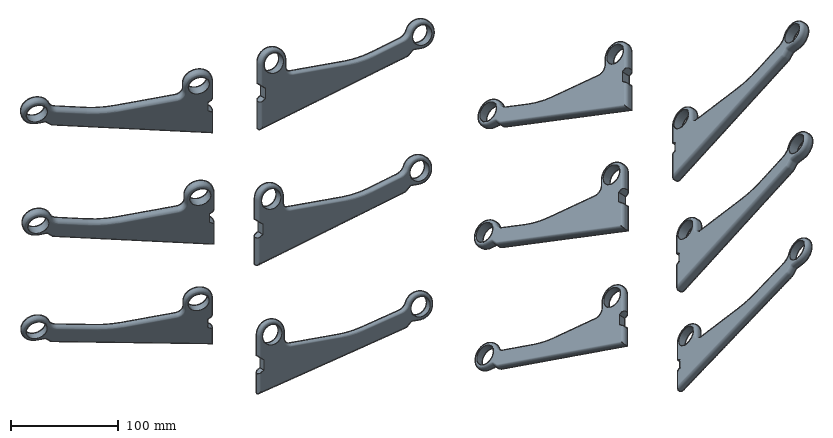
import cadquery as cq
import math


RING_RADIUS = 14.0
HOLE_DIAMETER = 20.2
RING_SPAN = 155.7
FRONT_RING_RISE = 1.7

SHELF_DROP = 13.0
BEAM_WIDTH = 18.5
HEEL_REACH = 142.0
HEEL_DROP = 17.5
STEP_REACH = 147.0

SHELF_CORNER_RADIUS = 7.0
BEND_RADIUS = 100.0
FRONT_NECK_RADIUS = 10.0
HEEL_RADIUS = 4.0
STEP_RADIUS = 1.7

RIM_RADIUS = 4.28
FACE_BLEND_RADIUS = 1.7
FACE_TRIM = 0.7

NOTCH_DROP = 28.5
NOTCH_MOUTH = 17.5
NOTCH_FLOOR = 10.3
NOTCH_DEPTH = 5.0

WIDE = 10.0
NARROW = 8.0
SIDE_SHIFT = 5.0
FORWARD_SHIFT = 1.0
UPPER_SPACING = 135.5
LOWER_SPACING = 133.8
DEEP_TAIL = 64.3
SHALLOW_TAIL = 57.0

RING_CENTRES = [(0, 0), (-RING_SPAN, FRONT_RING_RISE)]


def extrude_outline(points, thickness):
    """Straight-sided plate standing in the YZ plane."""
    return cq.Workplane("YZ").polyline(points).close().extrude(thickness)


def disc(centre, radius, thickness):
    return cq.Workplane("YZ").center(*centre).circle(radius).extrude(thickness)


def round_corner(body, corner, radius):
    """Round the outline corner nearest to the given (y, z) point."""
    mid_thickness = body.val().Center().x
    nearest = cq.NearestToPointSelector((mid_thickness, *corner))
    return body.edges("|X").edges(nearest).fillet(radius)


def make_blank(thickness, tail_drop):
    """Arm outline with rounded corners but square rims and no holes."""
    slope = (tail_drop - HEEL_DROP) / (HEEL_REACH + RING_RADIUS)
    beam_height = BEAM_WIDTH * math.hypot(1, slope)
    heel_top = beam_height - HEEL_DROP
    bend_reach = HEEL_REACH - (heel_top + SHELF_DROP) / slope
    beam_end = (-RING_SPAN, heel_top + slope * (RING_SPAN - HEEL_REACH))

    front_ring_bottom = FRONT_RING_RISE - RING_RADIUS
    shelf_corner = (-RING_RADIUS, -SHELF_DROP)
    bend = (-bend_reach, -SHELF_DROP)
    neck = (-RING_SPAN + RING_RADIUS, heel_top)
    heel = (-HEEL_REACH, -HEEL_DROP)
    step = (-STEP_REACH, front_ring_bottom)
    outline = [
        (RING_RADIUS, 0),
        (RING_RADIUS, -tail_drop),
        heel,
        step,
        (-RING_SPAN, front_ring_bottom),
        beam_end,
        bend,
        shelf_corner,
        (-RING_RADIUS, 0),
    ]

    blank = extrude_outline(outline, thickness)
    for centre in RING_CENTRES:
        blank = blank.union(disc(centre, RING_RADIUS, thickness))

    blank = round_corner(blank, shelf_corner, SHELF_CORNER_RADIUS)
    blank = round_corner(blank, bend, BEND_RADIUS)
    blank = round_corner(blank, neck, FRONT_NECK_RADIUS)
    blank = round_corner(blank, heel, HEEL_RADIUS)
    return round_corner(blank, step, STEP_RADIUS)


def round_rims(blank, thickness):
    """Round both rims of a thick blank and trim it to the given thickness."""
    rounded = blank.faces("<X or >X").edges().fillet(RIM_RADIUS)
    slab_size = 4 * RING_SPAN
    slab = cq.Workplane("YZ").rect(slab_size, slab_size).extrude(thickness)
    trimmed = rounded.translate((-FACE_TRIM, 0, 0)).intersect(slab)
    return trimmed.faces("<X or >X").edges().fillet(FACE_BLEND_RADIUS)


def notch_cutter(thickness):
    """Tapered notch, narrower at its floor than at the rear edge."""
    floor_y = RING_RADIUS - NOTCH_DEPTH
    points = [
        (RING_RADIUS, -NOTCH_DROP + NOTCH_MOUTH / 2),
        (floor_y, -NOTCH_DROP + NOTCH_FLOOR / 2),
        (floor_y, -NOTCH_DROP - NOTCH_FLOOR / 2),
        (RING_RADIUS, -NOTCH_DROP - NOTCH_MOUTH / 2),
    ]
    return extrude_outline(points, thickness)


def make_arm(thickness, tail_drop):
    blank = make_blank(thickness + 2 * FACE_TRIM, tail_drop)
    arm = round_rims(blank, thickness)
    for centre in RING_CENTRES:
        arm = arm.cut(disc(centre, HOLE_DIAMETER / 2, thickness))
    return arm.cut(notch_cutter(thickness))


deep_arm = make_arm(WIDE, DEEP_TAIL)
deep_arm_places = [(0, 0, 0), (SIDE_SHIFT, 0, -UPPER_SPACING)]
deep_arms = [deep_arm.translate(place).val() for place in deep_arm_places]

shallow_arm = make_arm(NARROW, SHALLOW_TAIL).translate(
    (SIDE_SHIFT, -FORWARD_SHIFT, -UPPER_SPACING - LOWER_SPACING)
)

result = cq.Compound.makeCompound([*deep_arms, shallow_arm.val()])